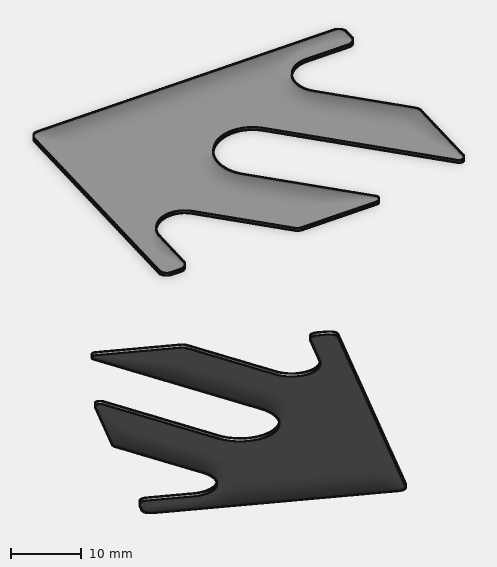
import cadquery as cq
import math

WIDTH = 38.1
HEIGHT = 50.8
THICKNESS = 0.5
ARM_WIDTH = 4.064
NOTCH_RADIUS = 4.064
SLOT_RADIUS = 5.588
CORNER_RADIUS = 1.27
TIP_RADIUS = 0.762

SLOT_ANGLE = 45
CUT_LENGTH = WIDTH + HEIGHT

NOTCH_INSET = ARM_WIDTH + NOTCH_RADIUS
SLOT_CENTER = (WIDTH / 2, HEIGHT / 2)
TOP_NOTCH_CENTER = (NOTCH_INSET, HEIGHT - NOTCH_INSET)
SIDE_NOTCH_CENTER = (WIDTH - NOTCH_INSET, NOTCH_INSET)

DIAGONAL_SHIFT = 1 / math.cos(math.radians(SLOT_ANGLE))


def open_slot(center, radius, angle):
    """Round-ended cut running from center out of the plate at the given angle."""
    channel = (
        cq.Workplane("XY")
        .rect(CUT_LENGTH, 2 * radius)
        .extrude(THICKNESS)
        .translate((CUT_LENGTH / 2, 0, 0))
    )
    round_end = cq.Workplane("XY").circle(radius).extrude(THICKNESS)
    cutter = channel.union(round_end)
    return cutter.rotate((0, 0, 0), (0, 0, 1), angle).translate((*center, 0))


def ray_end(start, angle):
    """Point one cut length away from start at the given angle."""
    direction = math.radians(angle)
    return (
        start[0] + CUT_LENGTH * math.cos(direction),
        start[1] + CUT_LENGTH * math.sin(direction),
    )


def corner_notch(center, arm_angle):
    """Notch with one side along a straight arm and the other along a prong."""
    along_arm = open_slot(center, NOTCH_RADIUS, arm_angle)
    along_prong = open_slot(center, NOTCH_RADIUS, SLOT_ANGLE)
    fan = (
        cq.Workplane("XY")
        .polyline([center, ray_end(center, arm_angle), ray_end(center, SLOT_ANGLE)])
        .close()
        .extrude(THICKNESS)
    )
    return along_arm.union(along_prong).union(fan)


def x_on_top_edge(center, offset):
    """X where a diagonal edge, offset to the right of center, meets the top edge."""
    return center[0] + HEIGHT - center[1] + offset * DIAGONAL_SHIFT


def y_on_right_edge(center, offset):
    """Y where a diagonal edge, offset above center, meets the right edge."""
    return center[1] + WIDTH - center[0] + offset * DIAGONAL_SHIFT


def round_corners(body, corners, radius):
    """Fillet the vertical edges standing at the given XY corners."""
    for x, y in corners:
        nearest = cq.selectors.NearestToPointSelector((x, y, THICKNESS / 2))
        body = body.edges("|Z").edges(nearest).fillet(radius)
    return body


plate = cq.Workplane("XY").rect(WIDTH, HEIGHT).extrude(THICKNESS).translate((*SLOT_CENTER, 0))
plate = plate.cut(open_slot(SLOT_CENTER, SLOT_RADIUS, SLOT_ANGLE))
plate = plate.cut(corner_notch(TOP_NOTCH_CENTER, 90))
plate = plate.cut(corner_notch(SIDE_NOTCH_CENTER, 0))

blunt_corners = [
    (0, 0),
    (0, HEIGHT),
    (ARM_WIDTH, HEIGHT),
    (WIDTH, 0),
    (WIDTH, ARM_WIDTH),
    (x_on_top_edge(TOP_NOTCH_CENTER, NOTCH_RADIUS), HEIGHT),
    (WIDTH, y_on_right_edge(SIDE_NOTCH_CENTER, NOTCH_RADIUS)),
]
sharp_tips = [
    (x_on_top_edge(SLOT_CENTER, -SLOT_RADIUS), HEIGHT),
    (WIDTH, y_on_right_edge(SLOT_CENTER, -SLOT_RADIUS)),
]
plate = round_corners(plate, blunt_corners, CORNER_RADIUS)
result = round_corners(plate, sharp_tips, TIP_RADIUS)